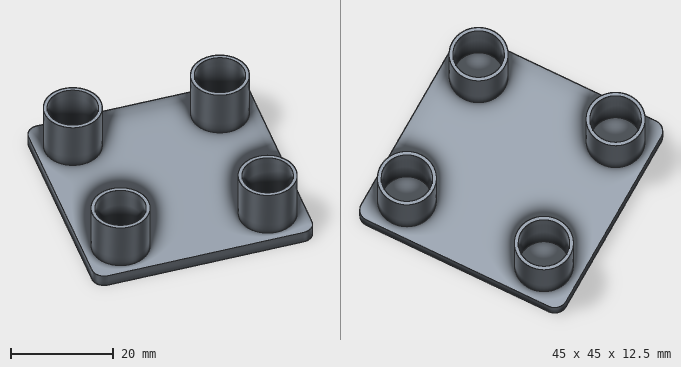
import cadquery as cq

plate_side = 45.0
plate_thickness = 2.5
corner_radius = 2.5

total_height = 12.5
socket_height = total_height - plate_thickness
socket_outer_diameter = 11.5
socket_bore_diameter = 10.0
socket_spacing = 30.1


def make_plate():
    """Square plate with rounded vertical corners, its underside on Z = 0."""
    plate = cq.Workplane("XY").rect(plate_side, plate_side).extrude(plate_thickness)
    return plate.edges("|Z").fillet(corner_radius)


def make_sockets():
    """Four open tubes in a square pattern, closed at the bottom by the plate."""
    return (
        cq.Workplane("XY", origin=(0, 0, plate_thickness))
        .rarray(socket_spacing, socket_spacing, 2, 2)
        .circle(socket_outer_diameter / 2)
        .rarray(socket_spacing, socket_spacing, 2, 2)
        .circle(socket_bore_diameter / 2)
        .extrude(socket_height)
    )


result = make_plate().union(make_sockets())